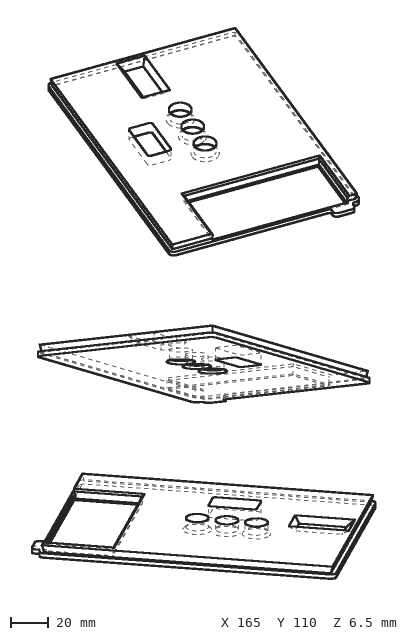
import cadquery as cq

total_length = 165.0
plate_length = 160.0
plate_width = 110.0
base_thickness = 2.5
total_thickness = 6.5
base_corner_radius = 3.0

panel_foot_inset_x = 2.6
panel_top_inset_x = 1.6
panel_foot_inset_y = 2.0
panel_top_inset_y = 1.5

tab_width = 12.5
tab_center_y = 98.8
tab_corner_radius = 2.5
tab_root_radius = 1.3
tab_overlap = 3.3

hole_diameter = 12.0
hole_flare = 1.5
hole_pitch = 16.0
hole_count = 3
middle_hole_x = 70.0
hole_row_y = 53.1

window_length = 26.0
window_width = 13.5
window_center = (70.8, 28.0)
window_corner_radius = 1.5

pocket_x = (3.8, 36.1)
pocket_y = (38.8, 55.1)
pocket_floor_x = (8.0, 33.3)
pocket_floor_y = (41.5, 52.5)
pocket_depth = 3.5

bay_x = (120.3, 158.5)
bay_y = (24.1, 104.1)
bay_bevel_width = 1.0
bay_bevel_depth = 1.2
bay_wall_foot_height = 1.3
bay_floor_inset = 0.7
bay_floor_height = 0.7


def rectangle(x_range, y_range, z):
    """Wire of an axis-aligned rectangle at height z."""
    corners = [
        (x_range[0], y_range[0]),
        (x_range[1], y_range[0]),
        (x_range[1], y_range[1]),
        (x_range[0], y_range[1]),
    ]
    return cq.Wire.makePolygon([cq.Vector(x, y, z) for x, y in corners], close=True)


def frustum(lower_x, lower_y, lower_z, upper_x, upper_y, upper_z):
    """Straight-sided solid between two rectangles at different heights."""
    lower = rectangle(lower_x, lower_y, lower_z)
    upper = rectangle(upper_x, upper_y, upper_z)
    return cq.Workplane(cq.Solid.makeLoft([lower, upper], True))


def block(x_range, y_range, bottom, top):
    """Box between two heights."""
    size = (x_range[1] - x_range[0], y_range[1] - y_range[0], top - bottom)
    corner = (x_range[0], y_range[0], bottom)
    return cq.Workplane(origin=corner).box(*size, centered=False)


def shrink(limits, inset):
    return (limits[0] + inset, limits[1] - inset)


def make_base():
    plate = block((0, plate_length), (0, plate_width), 0, base_thickness)
    plate = plate.edges("|Z").fillet(base_corner_radius)
    tab_y = (tab_center_y - tab_width / 2, tab_center_y + tab_width / 2)
    tab = block((plate_length - tab_overlap, total_length), tab_y, 0, base_thickness)
    tab = tab.edges("|Z and >X").fillet(tab_corner_radius)
    base = plate.union(tab)
    root_edges = cq.selectors.BoxSelector(
        (plate_length - tab_root_radius, tab_y[0] - tab_root_radius, 0),
        (plate_length + tab_root_radius, tab_y[1] + tab_root_radius, base_thickness),
    )
    return base.edges("|Z").edges(root_edges).fillet(tab_root_radius)


def make_panel():
    length = (0, plate_length)
    width = (0, plate_width)
    return frustum(
        shrink(length, panel_foot_inset_x),
        shrink(width, panel_foot_inset_y),
        base_thickness,
        shrink(length, panel_top_inset_x),
        shrink(width, panel_top_inset_y),
        total_thickness,
    )


def make_holes():
    first_x = middle_hole_x - hole_pitch * (hole_count - 1) / 2
    centers = [(first_x + i * hole_pitch, hole_row_y) for i in range(hole_count)]
    holes = cq.Workplane().pushPoints(centers).circle(hole_diameter / 2).extrude(total_thickness)
    mouth_radius = hole_diameter / 2 + hole_flare
    for x, y in centers:
        flare = cq.Solid.makeCone(mouth_radius, hole_diameter / 2, hole_flare, cq.Vector(x, y, 0))
        holes = holes.union(cq.Workplane(flare))
    return holes


def make_window():
    window = cq.Workplane().center(*window_center).rect(window_length, window_width)
    return window.extrude(total_thickness).edges("|Z").fillet(window_corner_radius)


def make_finger_pocket():
    floor_height = total_thickness - pocket_depth
    return frustum(pocket_floor_x, pocket_floor_y, floor_height, pocket_x, pocket_y, total_thickness)


def make_bay():
    wall_x = (bay_x[0] + bay_bevel_width, bay_x[1])
    wall_y = shrink(bay_y, bay_bevel_width)
    bevel_bottom = total_thickness - bay_bevel_depth
    open_end = plate_length
    bevel = frustum(
        (wall_x[0], open_end), wall_y, bevel_bottom,
        (bay_x[0], open_end), bay_y, total_thickness,
    )
    opening = block((wall_x[0], open_end), wall_y, base_thickness, bevel_bottom)
    base_recess = block(wall_x, wall_y, bay_wall_foot_height, base_thickness)
    well = frustum(
        shrink(wall_x, bay_floor_inset),
        shrink(wall_y, bay_floor_inset),
        bay_floor_height,
        wall_x,
        wall_y,
        bay_wall_foot_height,
    )
    return bevel.union(opening).union(base_recess).union(well)


result = make_base().union(make_panel())
for cutter in (make_holes(), make_window(), make_finger_pocket(), make_bay()):
    result = result.cut(cutter)